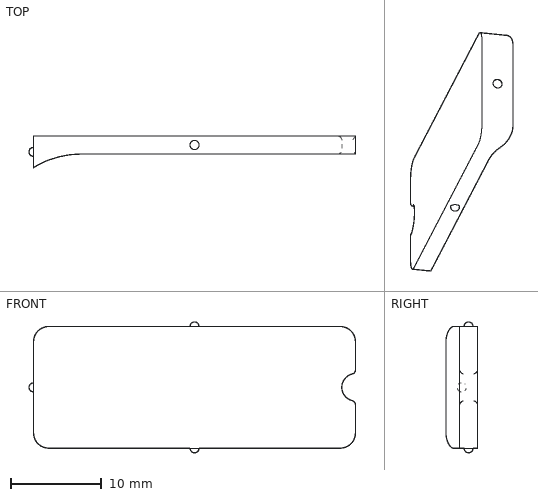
import cadquery as cq
import math

length = 35.4
height = 13.4
thickness = 2.0
corner_radius = 1.7

lip_rise = 1.5
lip_radius = 10.0
lip_length = math.sqrt(lip_radius**2 - (lip_radius - lip_rise) ** 2)

bump_radius = 0.5

notch_radius = 1.5
notch_rounding = 0.5
selection_margin = 0.1

front_y = 0.0
back_y = front_y + thickness
lip_y = front_y - lip_rise
mid_z = height / 2


def make_plate():
    """Plan outline with the lip arc tangent to the front face, extruded along Z."""
    half_angle = math.asin(lip_length / lip_radius) / 2
    arc_middle = (
        lip_length - lip_radius * math.sin(half_angle),
        front_y - lip_radius * (1 - math.cos(half_angle)),
    )
    plan = (
        cq.Workplane("XY")
        .moveTo(0, back_y)
        .lineTo(0, lip_y)
        .threePointArc(arc_middle, (lip_length, front_y))
        .lineTo(length, front_y)
        .lineTo(length, back_y)
        .close()
    )
    return plan.extrude(height).edges("|Y").fillet(corner_radius)


def cut_notch(plate):
    """Cut the notch through the thickness, then round all of its edges."""
    cutter = (
        cq.Workplane("XZ", origin=(length, back_y, mid_z))
        .circle(notch_radius)
        .extrude(thickness)
    )
    reach = notch_radius + selection_margin
    notch_edges = cq.selectors.BoxSelector(
        (length - reach, front_y - selection_margin, mid_z - reach),
        (length + reach, back_y + selection_margin, mid_z + reach),
        boundingbox=True,
    )
    return plate.cut(cutter).edges(notch_edges).fillet(notch_rounding)


def add_bumps(plate):
    """Add one bump on each long edge and one on the thick left end."""
    centres = [
        (length / 2, (front_y + back_y) / 2, 0),
        (length / 2, (front_y + back_y) / 2, height),
        (0, (lip_y + back_y) / 2, mid_z),
    ]
    for centre in centres:
        plate = plate.union(cq.Workplane("XY").sphere(bump_radius).translate(centre))
    return plate


result = add_bumps(cut_notch(make_plate()))